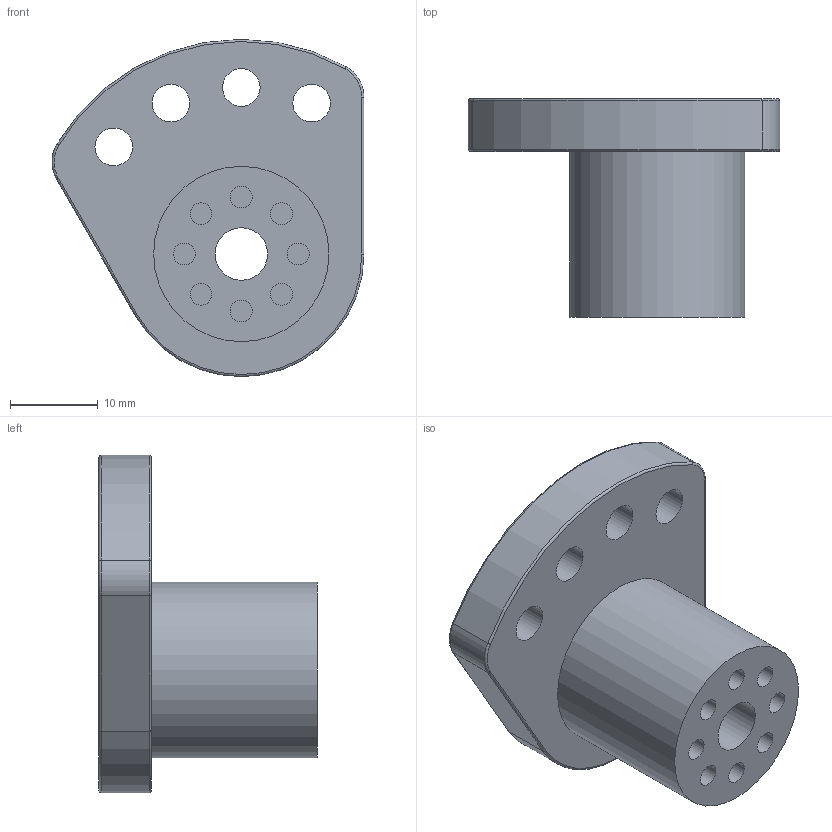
import cadquery as cq
import math

plate_thickness = 6.0
overall_depth = 24.9
hub_radius = 10.0
bore_diameter = 6.0

lower_radius = 14.0
upper_radius = 24.5
corner_radius = 4.0
flank_tilt = 30.0
edge_radius = 0.25

arc_hole_diameter = 4.3
arc_hole_radius = 19.0
arc_hole_pitch = 25.0
arc_hole_steps = (-1, 0, 1, 2)

face_hole_diameter = 2.5
face_hole_circle_radius = 6.5
face_hole_count = 8
face_hole_depth = 10.0

hub_length = overall_depth - plate_thickness


def polar(radius, degrees):
    """Point in the XZ plane at an angle measured from +X towards +Z."""
    angle = math.radians(degrees)
    return radius * math.cos(angle), radius * math.sin(angle)


def make_plate():
    corner_distance = upper_radius - corner_radius
    corner_offset = lower_radius - corner_radius
    corner_angle = math.degrees(math.acos(corner_offset / corner_distance))
    flank_length = math.sqrt(corner_distance**2 - corner_offset**2)
    flank_end_radius = math.hypot(lower_radius, flank_length)
    flank_end_angle = math.degrees(math.atan2(flank_length, lower_radius))

    left_normal = 180 + flank_tilt
    corner_x, corner_z = polar(corner_distance, corner_angle)
    right_mid_x, right_mid_z = polar(corner_radius, corner_angle / 2)
    left_corner_x, left_corner_z = polar(corner_distance, left_normal - corner_angle)
    left_mid_x, left_mid_z = polar(corner_radius, left_normal - corner_angle / 2)

    outline = (
        cq.Workplane("XZ")
        .moveTo(*polar(lower_radius, 0))
        .lineTo(*polar(flank_end_radius, flank_end_angle))
        .threePointArc(
            (corner_x + right_mid_x, corner_z + right_mid_z),
            polar(upper_radius, corner_angle),
        )
        .threePointArc(
            polar(upper_radius, left_normal / 2),
            polar(upper_radius, left_normal - corner_angle),
        )
        .threePointArc(
            (left_corner_x + left_mid_x, left_corner_z + left_mid_z),
            polar(flank_end_radius, left_normal - flank_end_angle),
        )
        .lineTo(*polar(lower_radius, left_normal))
        .threePointArc(polar(lower_radius, (left_normal + 360) / 2), polar(lower_radius, 360))
        .close()
    )
    return outline.extrude(plate_thickness).faces("<Y or >Y").fillet(edge_radius)


def make_hub():
    return cq.Workplane("XZ").circle(hub_radius).extrude(overall_depth)


def make_bore():
    return cq.Workplane("XZ").circle(bore_diameter / 2).extrude(overall_depth)


def make_arc_holes():
    centres = [polar(arc_hole_radius, 90 + step * arc_hole_pitch) for step in arc_hole_steps]
    return cq.Workplane("XZ").pushPoints(centres).circle(arc_hole_diameter / 2).extrude(plate_thickness)


def make_face_holes():
    """Blind holes sunk into the free end of the hub."""
    return (
        cq.Workplane("XZ", origin=(0, -overall_depth, 0))
        .polarArray(face_hole_circle_radius, 0, 360, face_hole_count)
        .circle(face_hole_diameter / 2)
        .extrude(-face_hole_depth)
    )


result = (
    make_plate()
    .union(make_hub())
    .cut(make_bore())
    .cut(make_arc_holes())
    .cut(make_face_holes())
)